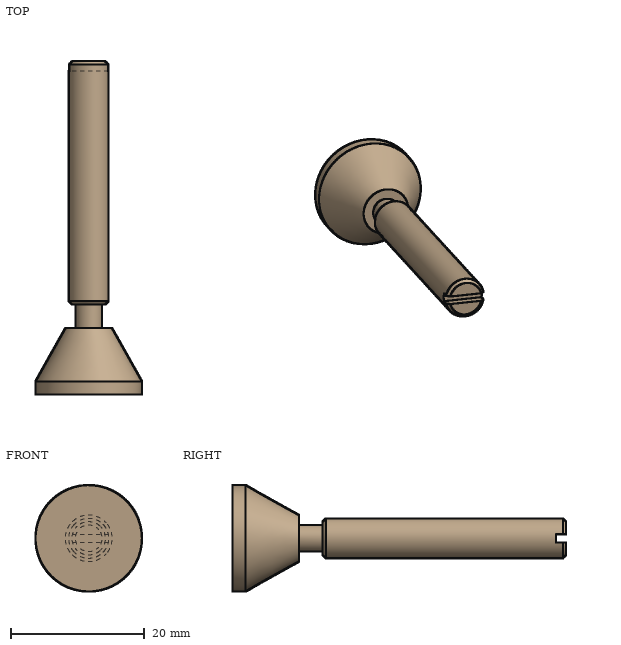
import cadquery as cq

foot_radius = 8.0
foot_rim = 2.0
foot_height = 10.0
foot_top_radius = 3.5

neck_radius = 2.0
rod_radius = 3.0
rod_start = 13.5
total_length = 50.0
tip_chamfer = 0.5
base_chamfer = 0.5

slot_width = 1.2
slot_depth = 1.5


def revolved_body():
    """Foot, neck and rod as one profile (radius, Y) turned about the Y axis."""
    profile = [
        (0, 0),
        (foot_radius, 0),
        (foot_radius, foot_rim),
        (foot_top_radius, foot_height),
        (neck_radius, foot_height),
        (neck_radius, rod_start),
        (rod_radius - base_chamfer, rod_start),
        (rod_radius, rod_start + base_chamfer),
        (rod_radius, total_length - tip_chamfer),
        (rod_radius - tip_chamfer, total_length),
        (0, total_length),
    ]
    return cq.Workplane("XY").polyline(profile).close().revolve(360, (0, 0, 0), (0, 1, 0))


def driver_slot():
    """Slot cutter running along X through the rod's end face."""
    slot_length = 2 * rod_radius
    slot_center_y = total_length - slot_depth / 2
    return cq.Workplane("XY").box(slot_length, slot_depth, slot_width).translate((0, slot_center_y, 0))


result = revolved_body().cut(driver_slot())